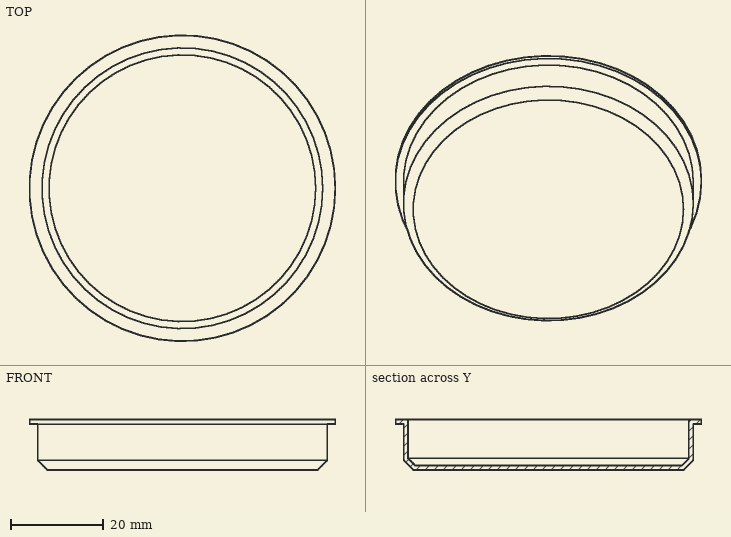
import cadquery as cq

rim_diameter = 66.5
body_diameter = 63.0
wall = 1.0
height = 11.0
outer_bevel = 2.1
inner_bevel = 1.5

cavity_diameter = body_diameter - 2 * wall

body = cq.Workplane("XY").circle(body_diameter / 2).extrude(height)
body = body.faces("<Z").chamfer(outer_bevel)

rim = (
    cq.Workplane("XY")
    .workplane(offset=height - wall)
    .circle(rim_diameter / 2)
    .extrude(wall)
)

cavity = (
    cq.Workplane("XY")
    .workplane(offset=wall)
    .circle(cavity_diameter / 2)
    .extrude(height - wall)
)
cavity = cavity.faces("<Z").chamfer(inner_bevel)

result = body.union(rim).cut(cavity)